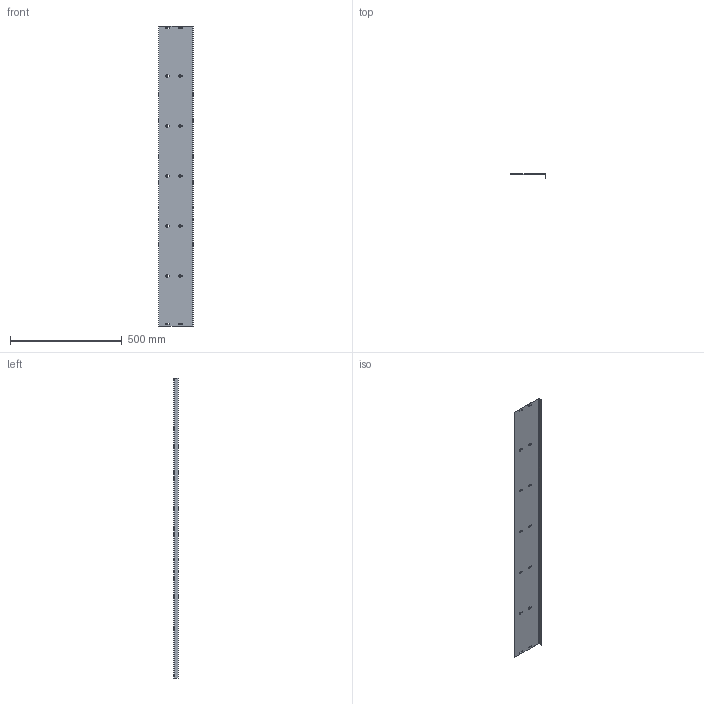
import cadquery as cq

width = 155.5
depth = 18.0
height = 1344.0
thickness = 1.5
inner_bend_radius = 2.0
outer_bend_radius = inner_bend_radius + thickness
left_edge = -width / 2
right_edge = width / 2
back = depth / 2
front = -depth / 2

head_diameter = 10.0
slot_width = 5.0
keyhole_travel = 10.0
opening_length = head_diameter / 2 + keyhole_travel + slot_width / 2

column_count = 2
column_pitch = 58.0
first_column_inset = 31.5
column_starts = [left_edge + first_column_inset + i * column_pitch for i in range(column_count)]

bay_count = 6
row_pitch = height / bay_count
end_row_inset = 10.0
keyhole_rows = [i * row_pitch - height / 2 for i in range(1, bay_count)]
end_rows = [end_row_inset - height / 2, height / 2 - end_row_inset]


def make_panel():
    """Wide plate at the back with a short flange turned forward along its right edge."""
    profile = (
        cq.Workplane("XY", origin=(0, 0, -height / 2))
        .moveTo(left_edge, back)
        .lineTo(right_edge - outer_bend_radius, back)
        .radiusArc((right_edge, back - outer_bend_radius), outer_bend_radius)
        .lineTo(right_edge, front)
        .lineTo(right_edge - thickness, front)
        .lineTo(right_edge - thickness, back - outer_bend_radius)
        .radiusArc((right_edge - outer_bend_radius, back - thickness), -inner_bend_radius)
        .lineTo(left_edge, back - thickness)
        .close()
    )
    return profile.extrude(height)


def slot_cutter(rows):
    """Horizontal round-ended slots through the plate, in every column of the given rows."""
    centers = [(start + opening_length / 2, z) for start in column_starts for z in rows]
    slots = cq.Workplane("XZ").pushPoints(centers).slot2D(opening_length, slot_width)
    return slots.extrude(-depth)


def head_cutter(rows):
    """Round keyhole heads through the plate, at the left end of each slot."""
    centers = [(start + head_diameter / 2, z) for start in column_starts for z in rows]
    heads = cq.Workplane("XZ").pushPoints(centers).circle(head_diameter / 2)
    return heads.extrude(-depth)


panel = make_panel()
panel = panel.cut(slot_cutter(end_rows + keyhole_rows))
panel = panel.cut(head_cutter(keyhole_rows))
result = panel.solids()